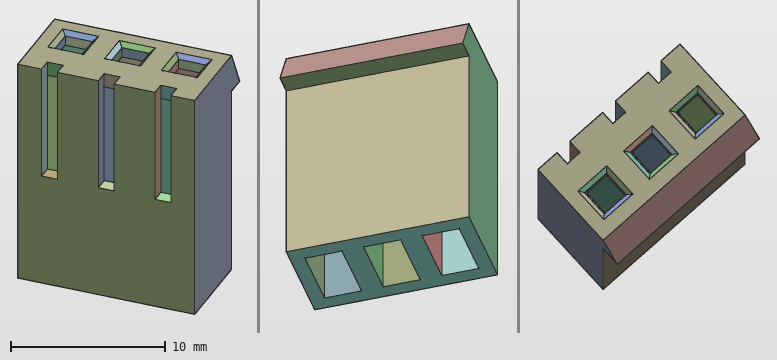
import cadquery as cq

width = 12.38
height = 16.0
overall_depth = 7.7
body_depth = 6.3

latch_height = 2.67

contact_count = 3
pitch = 3.97

entry_size = 1.9
entry_center_y = 4.06
entry_chamfer = 0.3
mouth_size = entry_size + 2 * entry_chamfer

wall = 1.0
cavity_width = mouth_size
cavity_depth = body_depth - 2 * wall
cavity_height = height - wall

slot_width = 1.1
slot_length = 8.0


def make_housing():
    """Block and latch as one side profile extruded across the width."""
    return (
        cq.Workplane("YZ")
        .moveTo(0, 0)
        .lineTo(body_depth, 0)
        .lineTo(body_depth, height - latch_height)
        .lineTo(overall_depth, height - latch_height)
        .lineTo(body_depth, height)
        .lineTo(0, height)
        .close()
        .extrude(width / 2, both=True)
    )


def make_entry(x):
    """Square opening through the top wall with a flared mouth."""
    opening = (
        cq.Workplane("XY", origin=(x, entry_center_y, 0))
        .rect(entry_size, entry_size)
        .extrude(height)
    )
    mouth = (
        cq.Workplane("XY", origin=(x, entry_center_y, height - entry_chamfer))
        .rect(entry_size, entry_size)
        .workplane(offset=entry_chamfer)
        .rect(mouth_size, mouth_size)
        .loft(ruled=True)
    )
    return opening.union(mouth)


def make_cavity(x):
    """Contact chamber, open at the base and closed above by the top wall."""
    return (
        cq.Workplane("XY", origin=(x, body_depth / 2, 0))
        .rect(cavity_width, cavity_depth)
        .extrude(cavity_height)
    )


def make_slot(x):
    """Slot through the front wall, open at the top."""
    return (
        cq.Workplane("XY", origin=(x, wall / 2, height - slot_length))
        .rect(slot_width, wall)
        .extrude(slot_length)
    )


result = make_housing()
for index in range(contact_count):
    contact_x = (index - (contact_count - 1) / 2) * pitch
    result = result.cut(make_cavity(contact_x))
    result = result.cut(make_entry(contact_x))
    result = result.cut(make_slot(contact_x))